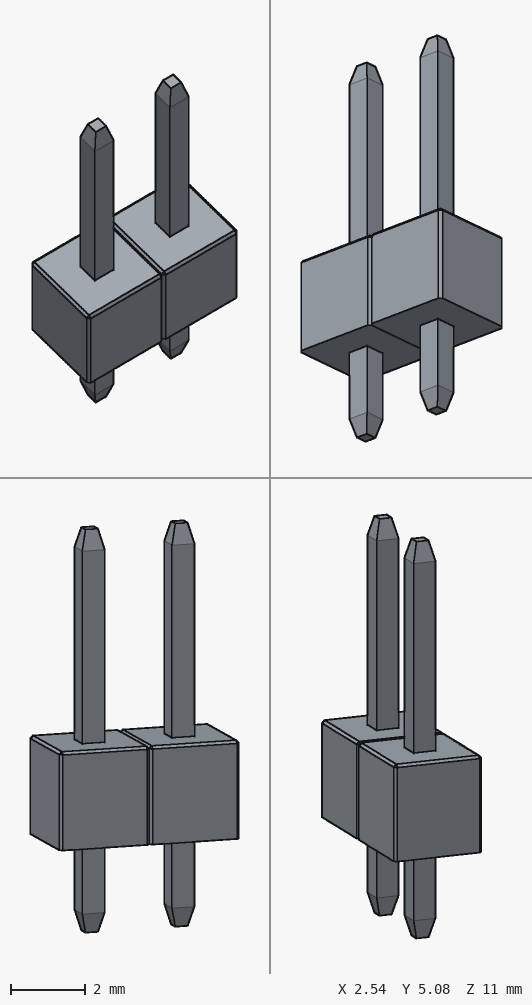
import cadquery as cq

PIN_COUNT = 2
PITCH = 2.54
PIN_LENGTH = 11.0

BLOCK_WIDTH = PITCH
BLOCK_HEIGHT = 2.68
EDGE_CHAMFER = 0.08

PIN_WIDTH = 0.64
TIP_WIDTH = 0.35
TIP_LENGTH = 0.55
PIN_BELOW_BLOCK = 2.51
SHANK_LENGTH = PIN_LENGTH - 2 * TIP_LENGTH


def make_housing(y):
    """Block with chamfered vertical and top edges and a square hole for its pin."""
    block = cq.Workplane("XY").box(
        BLOCK_WIDTH, BLOCK_WIDTH, BLOCK_HEIGHT, centered=(True, True, False)
    )
    block = block.edges("|Z or >Z").chamfer(EDGE_CHAMFER)
    hole = cq.Workplane("XY").rect(PIN_WIDTH, PIN_WIDTH).extrude(BLOCK_HEIGHT)
    return block.cut(hole).translate((0, y, 0))


def make_tip(base_z, end_z):
    """Square frustum narrowing from the shank at base_z to the tip at end_z."""
    return (
        cq.Workplane("XY", origin=(0, 0, base_z))
        .rect(PIN_WIDTH, PIN_WIDTH)
        .workplane(offset=end_z - base_z)
        .rect(TIP_WIDTH, TIP_WIDTH)
        .loft(ruled=True)
    )


def make_pin(y):
    """Straight square pin running through the housing, tapered at both ends."""
    bottom = -PIN_BELOW_BLOCK
    shank_bottom = bottom + TIP_LENGTH
    shank_top = shank_bottom + SHANK_LENGTH
    shank = (
        cq.Workplane("XY", origin=(0, 0, shank_bottom))
        .rect(PIN_WIDTH, PIN_WIDTH)
        .extrude(SHANK_LENGTH)
    )
    lower_tip = make_tip(shank_bottom, bottom)
    upper_tip = make_tip(shank_top, shank_top + TIP_LENGTH)
    return shank.union(lower_tip).union(upper_tip).translate((0, y, 0))


bodies = []
for index in range(PIN_COUNT):
    row_y = (index - (PIN_COUNT - 1) / 2) * PITCH
    bodies.append(make_housing(row_y).val())
    bodies.append(make_pin(row_y).val())

result = cq.Compound.makeCompound(bodies)